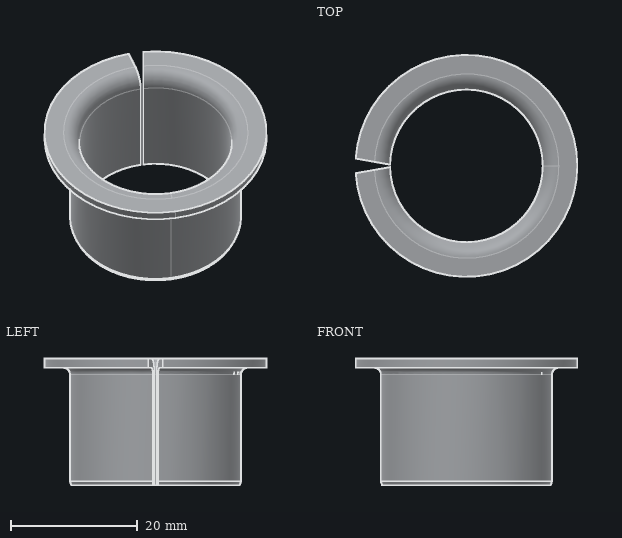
import cadquery as cq
import math

flange_diameter = 34.98
height = 20.0
bore_diameter = 24.0
wall = 1.5

outer_bend_radius = 1.0
inner_bend_radius = outer_bend_radius + wall

chamfer_height = 0.63
chamfer_angle = 20
chamfer_width = chamfer_height * math.tan(math.radians(chamfer_angle))

gap_at_bore = 0.35
gap_side_angle = 10
split_overrun = 1.75

flange_radius = flange_diameter / 2
bore_radius = bore_diameter / 2
sleeve_radius = bore_radius + wall
bend_center_r = sleeve_radius + outer_bend_radius
bend_center_z = height - inner_bend_radius
diagonal = math.sqrt(0.5)


def bend_midpoint(radius):
    """Middle of a quarter-circle bend arc, as (r, z)."""
    return (bend_center_r - radius * diagonal, bend_center_z + radius * diagonal)


def make_bushing():
    """Revolve the wall section around Z."""
    section = (
        cq.Workplane("XZ")
        .moveTo(bore_radius, 0)
        .lineTo(sleeve_radius - chamfer_width, 0)
        .lineTo(sleeve_radius, chamfer_height)
        .lineTo(sleeve_radius, bend_center_z)
        .threePointArc(bend_midpoint(outer_bend_radius), (bend_center_r, height - wall))
        .lineTo(flange_radius, height - wall)
        .lineTo(flange_radius, height)
        .lineTo(bend_center_r, height)
        .threePointArc(bend_midpoint(inner_bend_radius), (bore_radius, bend_center_z))
        .close()
    )
    return section.revolve(360, (0, 0, 0), (0, 1, 0))


def make_split():
    """Wedge running the full height, narrowest at its tip inside the bore."""
    side_slope = math.tan(math.radians(gap_side_angle))
    tip_x = -bore_radius + gap_at_bore / 2 / side_slope
    end_x = -(flange_radius + split_overrun)
    end_half_width = (tip_x - end_x) * side_slope
    return (
        cq.Workplane("XY")
        .polyline([(tip_x, 0), (end_x, end_half_width), (end_x, -end_half_width)])
        .close()
        .extrude(height)
    )


result = make_bushing().cut(make_split())